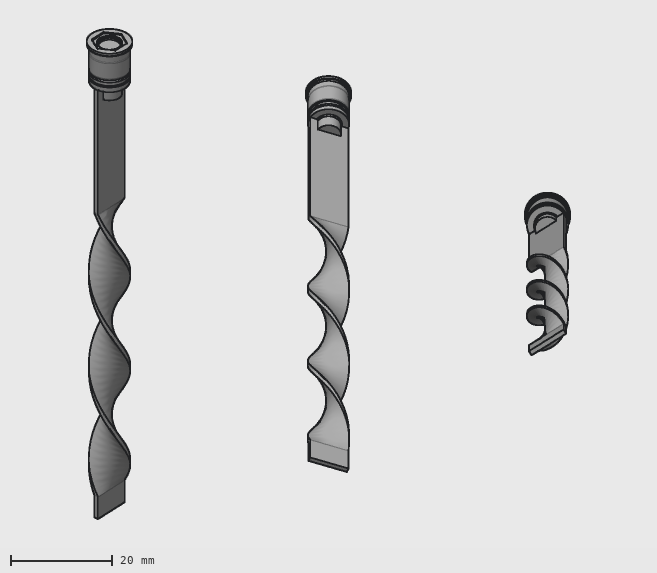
import cadquery as cq
import math

total_length = 109.5
flange_diameter = 9.0
flange_thickness = 0.7

body_diameter = 8.2
body_top = total_length - 2.5
body_bottom = total_length - 6.1
land_diameter = 8.1
land_bottom = total_length - 9.3
land_taper_height = 0.2
corner_height = 0.3
corner_width = 0.2

seal_diameter = 8.2
seal_top = total_length - 6.6
seal_bottom = total_length - 8.2
seal_chamfer = 0.4
groove_floor_diameter = 6.6

hex_across_flats = 6.1
hex_depth = 0.3
counterbore_diameter = 5.0
counterbore_depth = 0.7
bore_diameter = 4.4
bore_depth = 1.1
stem_diameter = 4.9
stem_bottom = total_length - 12.3

strip_width = 8.1
strip_thickness = 1.0
twist_bottom = 5.3
twist_top = 71.2
twist_angle = -540.0


def cylinder(diameter, bottom, top):
    return cq.Workplane("XY").workplane(offset=bottom).circle(diameter / 2).extrude(top - bottom)


def ring(outer_diameter, inner_diameter, bottom, top):
    return cylinder(outer_diameter, bottom, top).cut(cylinder(inner_diameter, bottom, top))


def strip_length(bottom, top):
    """Straight flat length of strip, broad faces toward X."""
    return (
        cq.Workplane("XY").workplane(offset=bottom)
        .rect(strip_thickness, strip_width).extrude(top - bottom)
    )


def make_strip():
    twisted = (
        cq.Workplane("XY").workplane(offset=twist_bottom)
        .rect(strip_thickness, strip_width)
        .twistExtrude(twist_top - twist_bottom, twist_angle)
    )
    return strip_length(0, twist_bottom).union(twisted).union(strip_length(twist_top, land_bottom))


def make_housing_blank():
    """Turned flange, body between two slimmer lands, and stem."""
    flange_bottom = total_length - flange_thickness
    flange_radius = flange_diameter / 2
    body_radius = body_diameter / 2
    land_radius = land_diameter / 2
    stem_radius = stem_diameter / 2
    outline = [
        (0, stem_bottom),
        (stem_radius, stem_bottom),
        (stem_radius, land_bottom - corner_height),
        (stem_radius + corner_width, land_bottom),
        (land_radius, land_bottom),
        (land_radius, body_bottom - land_taper_height),
        (body_radius, body_bottom),
        (body_radius, body_top),
        (land_radius, body_top + land_taper_height),
        (land_radius, flange_bottom - corner_height),
        (land_radius + corner_width, flange_bottom),
        (flange_radius, flange_bottom),
        (flange_radius, total_length),
        (0, total_length),
    ]
    return cq.Workplane("XZ").polyline(outline).close().revolve(360, (0, 0, 0), (0, 1, 0))


def make_seal_groove():
    return ring(flange_diameter, groove_floor_diameter, seal_bottom, seal_top)


def make_hex_recess():
    across_corners = hex_across_flats / math.cos(math.pi / 6)
    return (
        cq.Workplane("XY").workplane(offset=total_length)
        .polygon(6, across_corners).extrude(-hex_depth)
        .rotate((0, 0, 0), (0, 0, 1), 90)
    )


def make_stepped_bore():
    counterbore = cylinder(counterbore_diameter, total_length - counterbore_depth, total_length)
    bore = cylinder(bore_diameter, total_length - bore_depth, total_length)
    return counterbore.union(bore)


def make_housing():
    bore = make_stepped_bore()
    stem_slot = strip_length(stem_bottom, land_bottom)
    return (
        make_housing_blank().cut(make_seal_groove())
        .cut(make_hex_recess()).cut(bore).cut(stem_slot)
    )


def make_seal():
    """Sealing ring with both outer edges chamfered."""
    blank = cylinder(seal_diameter, seal_bottom, seal_top).edges("%CIRCLE").chamfer(seal_chamfer)
    return blank.cut(cylinder(groove_floor_diameter, seal_bottom, seal_top))


strip = make_strip()
housing = make_housing()
seal = make_seal()
result = cq.Compound.makeCompound([housing.val(), seal.val(), strip.val()])